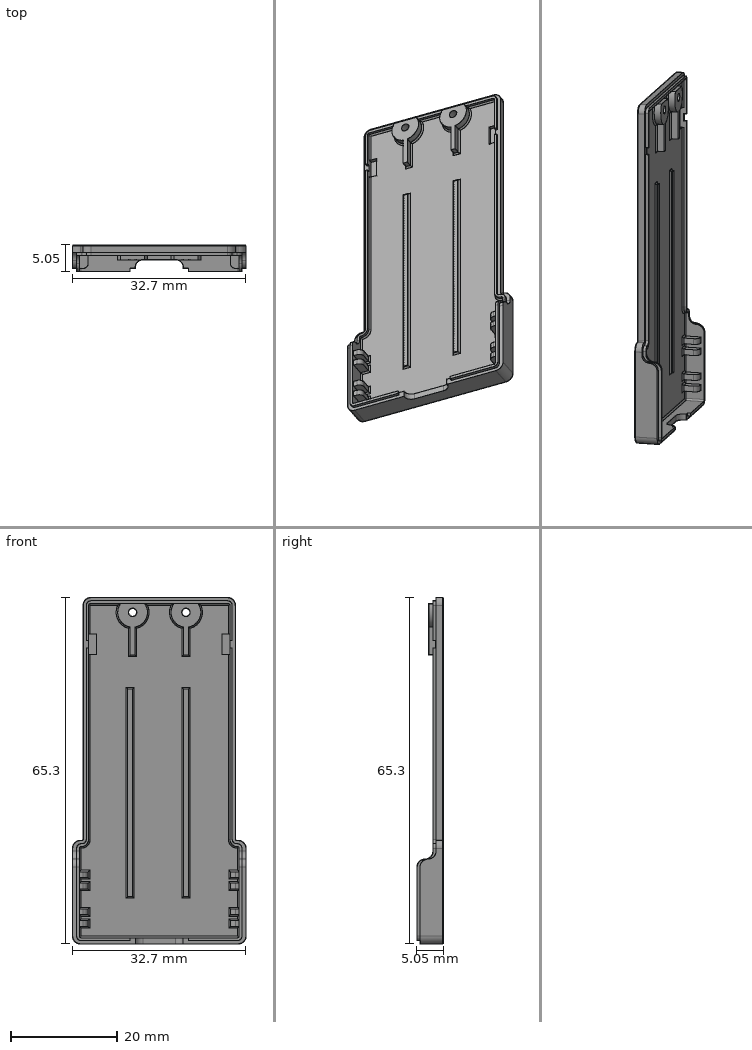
import cadquery as cq


length = 65.3
wide_half_width = 32.7 / 2
narrow_half_width = 14.35
shoulder_z = 19.5
corner_radius = 1.5
shoulder_radius = 0.2
back_chamfer = 0.2

floor_thickness = 1.25
narrow_rim_depth = 1.45
wide_rim_depth = 4.45
lip_height = 0.6
full_depth = wide_rim_depth + lip_height
base_chamfer = 0.295

lip_inset = 0.62
lip_inset_wide = 0.8
wall = 1.2
wall_narrow = 1.05
wall_wide = 1.3

step_top_z = 17.5
step_radius = (wide_rim_depth - narrow_rim_depth) / 2

boss_x = 5.0
boss_z = 62.5
boss_radius = 2.8
boss_depth = 2.8
hole_diameter = 1.5
stem_width = 0.9
stem_bottom_z = 54.45

rib_width = 0.9
rib_depth = 1.75
rib_bottom_z = 8.95
rib_top_z = 48.05
rib_positions = (-5.5, 5.0)

pocket_inner_x = 11.8
pocket_height = 3.85
pocket_floor = 0.5
latch_z = 56.5
notch_height = 1.4

tooth_inner_x = 13.4
tooth_thickness = 1.1
tooth_radius = 1.0
tooth_positions = (3.85, 6.1, 10.9, 13.05)

opening_half_width = 4.5
opening_depth = 2.8
opening_radius = 1.45
lip_gap_half_width = 5.5


def front_plane(depth):
    """Sketch plane parallel to the floor, extruding towards -Y."""
    return cq.Workplane("XZ", origin=(0, -depth, 0))


def block(x_range, depth_range, z_range):
    """Box between two limits on each axis, with depths towards -Y."""
    left, right = x_range
    near_back, near_front = depth_range
    bottom, top = z_range
    size = (right - left, near_front - near_back, top - bottom)
    return cq.Workplane("XY").box(*size, centered=False).translate((left, -near_front, bottom))


def round_corners(sketch, x, z, radius):
    """Round the sketch corner at (x, z) and its mirror image at (-x, z)."""
    reach = 0.05
    for corner_x in (-x, x):
        around = cq.selectors.BoxSelector(
            (corner_x - reach, z - reach, -reach),
            (corner_x + reach, z + reach, reach),
        )
        sketch = sketch.vertices(around).fillet(radius).reset()
    return sketch


def tray_prism(inset, inset_narrow, inset_wide, start, end):
    """Prism of the stepped tray outline, moved inwards by the insets."""
    narrow = narrow_half_width - inset_narrow
    wide = wide_half_width - inset_wide
    bottom = inset
    shoulder = shoulder_z - inset
    top = length - inset
    half = [(wide, bottom), (wide, shoulder), (narrow, shoulder), (narrow, top)]
    mirrored = [(-x, z) for x, z in reversed(half)]
    sketch = cq.Sketch().polygon(half + mirrored + half[:1])
    sketch = round_corners(sketch, narrow, shoulder, shoulder_radius + inset)
    for x, z in [(wide, bottom), (wide, shoulder), (narrow, top)]:
        sketch = round_corners(sketch, x, z, corner_radius - inset)
    return front_plane(start).placeSketch(sketch).extrude(end - start)


def below_rim(extra):
    """Everything behind the stepped rim, raised by the extra depth."""
    shallow = -(narrow_rim_depth + extra)
    deep = -(wide_rim_depth + extra)
    middle = (shallow + deep) / 2
    middle_z = step_top_z - step_radius
    return (
        cq.Workplane("YZ")
        .moveTo(0, 0)
        .lineTo(0, length)
        .lineTo(shallow, length)
        .lineTo(shallow, step_top_z)
        .radiusArc((middle, middle_z), step_radius)
        .radiusArc((deep, middle_z - step_radius), -step_radius)
        .lineTo(deep, 0)
        .close()
        .extrude(wide_half_width, both=True)
    )


def shell():
    """Tray with a raised lip set in from its outer edge."""
    body = tray_prism(0, 0, 0, 0, full_depth).faces(">Y").chamfer(back_chamfer)
    body = body.intersect(below_rim(0))
    lip = tray_prism(lip_inset, lip_inset, lip_inset_wide, floor_thickness, full_depth)
    body = body.union(lip.intersect(below_rim(lip_height)))
    cavity = tray_prism(wall, wall_narrow, wall_wide, floor_thickness, full_depth)
    return body.cut(cavity.faces(">Y").chamfer(base_chamfer))


def floor_bar(x, width, bottom, top, depth):
    """Upright bar on the floor with a chamfered foot all round."""
    height = top - bottom
    foot = (
        front_plane(floor_thickness)
        .center(x, (bottom + top) / 2)
        .rect(width + 2 * base_chamfer, height + 2 * base_chamfer)
        .extrude(base_chamfer, taper=45)
    )
    bar = block((x - width / 2, x + width / 2), (floor_thickness, depth), (bottom, top))
    return foot.union(bar)


def boss(x):
    """Round boss with a stem below it, ending at the top wall."""
    center = front_plane(floor_thickness).center(x, boss_z)
    disc = center.circle(boss_radius).extrude(boss_depth - floor_thickness)
    foot = center.circle(boss_radius + base_chamfer).extrude(base_chamfer, taper=45)
    stem = floor_bar(x, stem_width, stem_bottom_z, boss_z, boss_depth)
    reach = boss_radius + base_chamfer
    above_wall = block((x - reach, x + reach), (0, boss_depth), (length - wall, boss_z + reach))
    return disc.union(foot).union(stem).cut(above_wall)


def tooth(z):
    """Clip tooth on the +X side wall, rounded at its free front corner."""
    wall_x = wide_half_width - wall_wide
    bottom = z - tooth_thickness / 2
    top = z + tooth_thickness / 2
    blade = block((tooth_inner_x, wall_x), (floor_thickness, wide_rim_depth), (bottom, top))
    blade = blade.edges("|Z and <X and <Y").fillet(tooth_radius)
    middle_x = (tooth_inner_x + wall_x) / 2
    foot_depth = floor_thickness + base_chamfer
    foot = floor_bar(middle_x, wall_x - tooth_inner_x, bottom, top, foot_depth)
    return blade.union(foot)


def latch():
    """Cutter for the floor pocket and the lip notch, flush with the rim, on the +X side."""
    pocket = block(
        (pocket_inner_x, narrow_half_width - wall_narrow),
        (pocket_floor, wide_rim_depth),
        (latch_z - pocket_height / 2, latch_z + pocket_height / 2),
    )
    notch = block(
        (pocket_inner_x, narrow_half_width),
        (narrow_rim_depth, wide_rim_depth),
        (latch_z - notch_height / 2, latch_z + notch_height / 2),
    )
    return pocket.union(notch)


def bottom_opening():
    """Cutter for the rounded opening and the wider lip gap in the bottom wall."""
    wall_range = (0, wall)
    opening = block((-opening_half_width, opening_half_width), (opening_depth, full_depth), wall_range)
    opening = opening.edges("|Z and >Y").fillet(opening_radius)
    gap = block((-lip_gap_half_width, lip_gap_half_width), (wide_rim_depth, full_depth), wall_range)
    return opening.union(gap)


result = shell()

for x in rib_positions:
    result = result.union(floor_bar(x, rib_width, rib_bottom_z, rib_top_z, rib_depth))

for x in (-boss_x, boss_x):
    hole = front_plane(0).center(x, boss_z).circle(hole_diameter / 2).extrude(boss_depth)
    result = result.union(boss(x)).cut(hole)

for z in tooth_positions:
    right_tooth = tooth(z)
    result = result.union(right_tooth).union(right_tooth.mirror("YZ"))

right_latch = latch()
result = result.cut(right_latch).cut(right_latch.mirror("YZ"))
result = result.cut(bottom_opening())